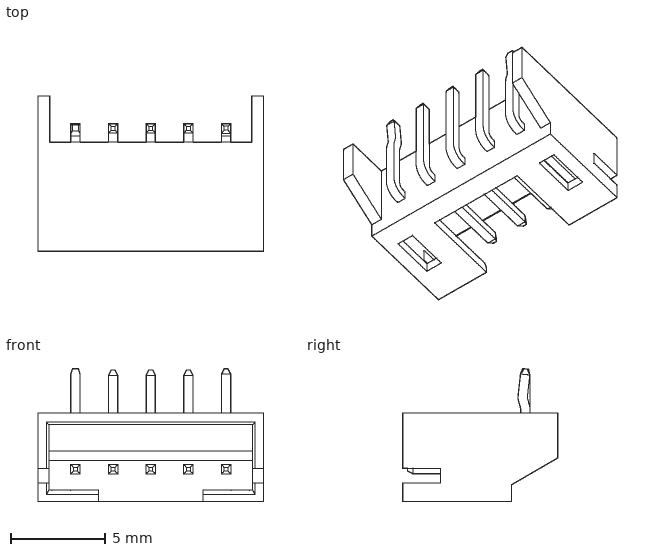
import cadquery as cq
import math


width = 12.0
overall_depth = 8.25
body_depth = 5.8
body_height = 4.7
ear_thickness = 0.65
ear_rear_bottom = 2.32
ear_slope_bottom = 0.89

cavity_width = 10.82
cavity_bottom = 0.6
cavity_top = 4.08
cavity_depth = 4.98
ledge_depth = 4.5
ledge_front_height = 2.18
ledge_back_height = 2.68

lead_in_depth = 0.15
lead_in_wall = 0.13
lead_in_floor = 0.23

floor_gap_width = 5.55
side_slot_depth = 2.0
side_slot_bottom = 1.0
side_slot_top = 1.76
window_inner_x = 4.26
window_outer_x = 5.23
window_front = side_slot_depth

pin_count = 5
pin_pitch = width / (pin_count + 1)
pin_size = 0.5
pin_height = 1.72
pin_front = 0.26
leg_y = 6.53
bend_radius = 0.56
taper_length = 0.3
tip_size = 0.2
blunt_tip_size = 0.32
straight_pin_top = 7.0

kink_start_height = 4.93
kink_peak_height = 5.5
kink_offset = 0.15
kink_end_setback = 0.01
kink_end_height = 7.05
kink_start_radius = 0.9
kink_peak_radius = 0.34


def box_between(low, high):
    """Axis-aligned box between two opposite corners."""
    size = [b - a for a, b in zip(low, high)]
    return cq.Workplane("XY").box(*size, centered=False).translate(low)


def side_profile(points, thickness, x_start):
    """Prism with a (Y, Z) outline, running in +X from x_start."""
    return cq.Workplane("YZ", origin=(x_start, 0, 0)).polyline(points).close().extrude(thickness)


def make_ear(x_start):
    outline = [
        (0, 0),
        (body_depth, 0),
        (body_depth, ear_slope_bottom),
        (overall_depth, ear_rear_bottom),
        (overall_depth, body_height),
        (0, body_height),
    ]
    return side_profile(outline, ear_thickness, x_start)


def make_cavity():
    outline = [
        (0, cavity_bottom),
        (ledge_depth, cavity_bottom),
        (ledge_depth, ledge_front_height),
        (cavity_depth, ledge_back_height),
        (cavity_depth, cavity_top),
        (0, cavity_top),
    ]
    return side_profile(outline, cavity_width, -cavity_width / 2)


def make_lead_in():
    mouth_bottom = cavity_bottom - lead_in_floor
    mouth_top = cavity_top + lead_in_wall
    mouth_middle = (mouth_bottom + mouth_top) / 2
    cavity_middle = (cavity_bottom + cavity_top) / 2
    return (
        cq.Workplane("XZ")
        .center(0, mouth_middle)
        .rect(cavity_width + 2 * lead_in_wall, mouth_top - mouth_bottom)
        .workplane(offset=-lead_in_depth)
        .center(0, cavity_middle - mouth_middle)
        .rect(cavity_width, cavity_top - cavity_bottom)
        .loft(ruled=True)
    )


def make_housing():
    half_width = width / 2
    half_gap = floor_gap_width / 2
    housing = box_between((-half_width, 0, 0), (half_width, body_depth, body_height))
    housing = housing.union(make_ear(-half_width)).union(make_ear(half_width - ear_thickness))
    housing = housing.cut(make_cavity()).cut(make_lead_in())

    floor_gap = box_between((-half_gap, 0, 0), (half_gap, ledge_depth, cavity_bottom))
    side_slots = box_between(
        (-half_width, 0, side_slot_bottom), (half_width, side_slot_depth, side_slot_top)
    )
    window = box_between(
        (window_inner_x, window_front, 0), (window_outer_x, ledge_depth, cavity_bottom)
    )
    return housing.cut(floor_gap).cut(side_slots).cut(window).cut(window.mirror("YZ"))


def rounded_path(x, points, radii):
    """Path through (Y, Z) points at the given X, with an arc at every inner point."""
    corners = [cq.Vector(x, y, z) for y, z in points]
    edges = []
    start = corners[0]
    for before, corner, after, radius in zip(corners, corners[1:], corners[2:], radii):
        back = (before - corner).normalized()
        ahead = (after - corner).normalized()
        half_angle = back.getAngle(ahead) / 2
        setback = radius / math.tan(half_angle)
        to_middle = radius / math.sin(half_angle) - radius
        arc_start = corner + back * setback
        arc_middle = corner + (back + ahead).normalized() * to_middle
        arc_end = corner + ahead * setback
        edges.append(cq.Edge.makeLine(start, arc_start))
        edges.append(cq.Edge.makeThreePointArc(arc_start, arc_middle, arc_end))
        start = arc_end
    edges.append(cq.Edge.makeLine(start, corners[-1]))
    return cq.Wire.assembleEdges(edges)


def make_taper(base, direction, end_size):
    """Pyramid-shaped pin end that starts at base and points along direction."""
    plane = cq.Plane(origin=base.toTuple(), xDir=(1, 0, 0), normal=direction.toTuple())
    return (
        cq.Workplane(plane)
        .rect(pin_size, pin_size)
        .workplane(offset=taper_length)
        .rect(end_size, end_size)
        .loft(ruled=True)
    )


def make_pin(x, leg_points, leg_radii, end_size):
    """Pin with a horizontal leg and an upright leg through the given (Y, Z) points."""
    front = cq.Vector(x, pin_front + taper_length, pin_height)
    last = cq.Vector(x, *leg_points[-1])
    corners = [(leg_y, pin_height), *leg_points[:-1]]
    up = (last - cq.Vector(x, *corners[-1])).normalized()
    top = last - up * taper_length

    points = [(front.y, front.z), *corners, (top.y, top.z)]
    path = rounded_path(x, points, [bend_radius, *leg_radii])
    shank = (
        cq.Workplane("XZ", origin=front.toTuple())
        .rect(pin_size, pin_size)
        .sweep(cq.Workplane(obj=path))
    )
    front_taper = make_taper(front, cq.Vector(0, -1, 0), tip_size)
    return shank.union(front_taper).union(make_taper(top, up, end_size))


def make_straight_pin(x):
    return make_pin(x, [(leg_y, straight_pin_top)], [], tip_size)


def make_kinked_pin(x, end_size):
    leg_points = [
        (leg_y, kink_start_height),
        (leg_y - kink_offset, kink_peak_height),
        (leg_y + kink_end_setback, kink_end_height),
    ]
    return make_pin(x, leg_points, [kink_start_radius, kink_peak_radius], end_size)


result = make_housing()
row_end = pin_pitch * (pin_count - 1) / 2
for index in range(1, pin_count - 1):
    result = result.union(make_straight_pin(index * pin_pitch - row_end))
result = result.union(make_kinked_pin(-row_end, blunt_tip_size))
result = result.union(make_kinked_pin(row_end, tip_size))